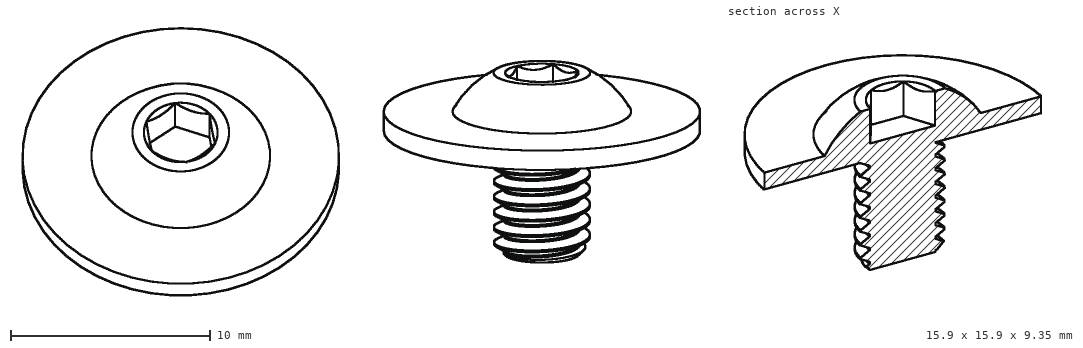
import cadquery as cq
import math


INCH = 25.4

flange_diameter = 5 / 8 * INCH
flange_thickness = 1.0
head_diameter = 8.96
head_flat_diameter = 4.85
head_height = 2.0
head_top = flange_thickness + head_height

socket_across_flats = 3.2
socket_across_corners = socket_across_flats / math.cos(math.radians(30))
socket_depth = 2.0
countersink_height = socket_across_corners / 2

major_diameter = 0.19 * INCH
major_radius = major_diameter / 2
pitch = INCH / 32
shank_length = INCH / 4
flank_angle = 30
flank_slope = math.tan(math.radians(flank_angle))
crest_width = pitch / 8
root_width = pitch / 8
thread_depth = (pitch - crest_width - root_width) / 2 / flank_slope
minor_radius = major_radius - thread_depth
crest_height_at_x = 0.63
tip_chamfer = 0.55
end_turns = 2

ridge_inset = 0.05
envelope_margin = 0.5


def dome_radius_at(height):
    """Radius of the spherical dome at a height above the flange."""
    base = head_diameter / 2
    flat = head_flat_diameter / 2
    center_drop = (base**2 - flat**2 - head_height**2) / (2 * head_height)
    return math.sqrt(base**2 + center_drop**2 - (center_drop + height) ** 2)


def make_head():
    """Flange disc with the flat-topped dome, as one revolved outline."""
    flange_radius = flange_diameter / 2
    mid_height = head_height / 2
    return (
        cq.Workplane("XZ")
        .lineTo(flange_radius, 0)
        .lineTo(flange_radius, flange_thickness)
        .lineTo(head_diameter / 2, flange_thickness)
        .threePointArc(
            (dome_radius_at(mid_height), flange_thickness + mid_height),
            (head_flat_diameter / 2, head_top),
        )
        .lineTo(0, head_top)
        .close()
        .revolve(360, (0, 0), (0, 1))
    )


def make_socket():
    """Hexagonal pocket, corners on the Y axis, with a conical lead-in."""
    hexagon = (
        cq.Workplane("XY", origin=(0, 0, head_top))
        .transformed(rotate=(0, 0, 90))
        .polygon(6, socket_across_corners)
        .extrude(-socket_depth)
    )
    cone = cq.Workplane(
        cq.Solid.makeCone(
            socket_across_corners / 2,
            0,
            countersink_height,
            pnt=cq.Vector(0, 0, head_top),
            dir=cq.Vector(0, 0, -1),
        )
    )
    return hexagon.union(cone)


def make_thread_ridge(start, turns):
    """Right-hand helical ridge whose crest starts on the +X side at height start."""
    base_radius = minor_radius - ridge_inset
    base_half = (pitch - root_width) / 2 + ridge_inset * flank_slope
    crest_half = crest_width / 2
    profile = (
        cq.Workplane("XZ")
        .moveTo(base_radius, start - base_half)
        .lineTo(major_radius, start - crest_half)
        .lineTo(major_radius, start + crest_half)
        .lineTo(base_radius, start + base_half)
        .close()
    )
    helix = cq.Wire.makeHelix(pitch, turns * pitch, major_radius, center=cq.Vector(0, 0, start))
    return profile.sweep(cq.Workplane(helix), isFrenet=True)


def make_shank():
    """Threaded shank with a 45 degree tip chamfer, ending at the flange underside."""
    tip = -shank_length
    ridge_overrun = end_turns * pitch
    core_overrun = 2 * ridge_overrun
    ridge_start = tip + crest_height_at_x - ridge_overrun
    ridge_turns = math.ceil(shank_length / pitch) + 2 * end_turns
    core = (
        cq.Workplane("XY", origin=(0, 0, tip - core_overrun))
        .circle(minor_radius)
        .extrude(shank_length + 2 * core_overrun)
    )
    envelope = (
        cq.Workplane("XY", origin=(0, 0, tip))
        .circle(major_radius + envelope_margin)
        .extrude(shank_length)
        .faces("<Z")
        .chamfer(tip_chamfer + envelope_margin)
    )
    return envelope.intersect(core.union(make_thread_ridge(ridge_start, ridge_turns)))


result = make_head().cut(make_socket()).union(make_shank())